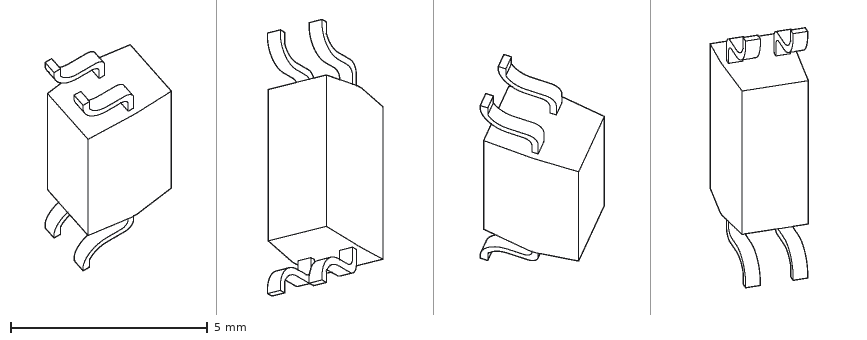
import cadquery as cq
import math

total_height = 7.18

body_width = 2.0
body_height = 4.4
band_depth = 0.17
front_depth = 1.3
rear_depth = 1.135
draft_angle = 5.0

lead_width = 0.395
lead_pitch = 1.27
shelf_thickness = 0.195
foot_thickness = 0.21
shelf_outer_z = 2.94
foot_front = 1.59
elbow_outer_radius = 0.29
elbow_inner_radius = 0.23
sweep_start = 0.84
sweep_lower_radius = 0.755
sweep_upper_radius = 0.6


def block(start_y, depth, taper=0.0):
    """Body section extruded from start_y; positive depth runs toward -Y."""
    return (
        cq.Workplane("XZ", origin=(0, start_y, 0))
        .rect(body_width, body_height)
        .extrude(depth, taper=taper)
    )


def make_body():
    """Straight parting band with a drafted block in front and behind."""
    band = block(0, band_depth)
    front = block(-band_depth, front_depth, draft_angle)
    rear = block(0, -rear_depth, draft_angle)
    return band.union(front).union(rear)


def sweep_rise(radius, run):
    """Height gained by an arc that starts level and covers a given run."""
    return radius - math.sqrt(radius**2 - run**2)


def level_arc(sketch, start_z, radius, run, from_level):
    """Add an arc between the level shelf and the foot, in either direction."""
    half_angle = math.asin(run / radius) / 2
    middle = (
        -sweep_start - radius * math.sin(half_angle),
        start_z + radius * (1 - math.cos(half_angle)),
    )
    level_end = (-sweep_start, start_z)
    foot_end = (-sweep_start - run, start_z + sweep_rise(radius, run))
    return sketch.threePointArc(middle, foot_end if from_level else level_end)


def make_upper_lead(center_x):
    """Lead rising from the body, bending forward and curving up to its foot."""
    top = total_height / 2
    shelf_inner_z = shelf_outer_z - shelf_thickness
    foot_back = foot_front - foot_thickness
    lower_run = foot_front - sweep_start
    upper_run = foot_back - sweep_start
    upper_foot_z = shelf_outer_z + sweep_rise(sweep_upper_radius, upper_run)

    outline = (
        cq.Workplane("YZ", origin=(center_x - lead_width / 2, 0, 0))
        .moveTo(0, 0)
        .lineTo(-band_depth, 0)
        .lineTo(-band_depth, shelf_inner_z - elbow_inner_radius)
        .radiusArc((-band_depth - elbow_inner_radius, shelf_inner_z), -elbow_inner_radius)
        .lineTo(-sweep_start, shelf_inner_z)
    )
    outline = level_arc(outline, shelf_inner_z, sweep_lower_radius, lower_run, True)
    outline = (
        outline.lineTo(-foot_front, top)
        .lineTo(-foot_back, top)
        .lineTo(-foot_back, upper_foot_z)
    )
    outline = level_arc(outline, shelf_outer_z, sweep_upper_radius, upper_run, False)
    outline = (
        outline.lineTo(-elbow_outer_radius, shelf_outer_z)
        .radiusArc((0, shelf_outer_z - elbow_outer_radius), elbow_outer_radius)
        .close()
    )
    return outline.extrude(lead_width)


result = make_body()
for side in (-1, 1):
    upper_lead = make_upper_lead(side * lead_pitch / 2)
    result = result.union(upper_lead).union(upper_lead.mirror("XY"))